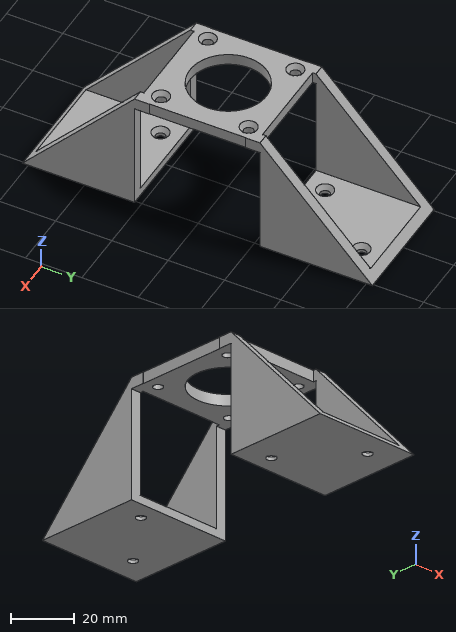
import cadquery as cq
import math

length = 124.3
width = 41.3
height = 43.0

wall = 4.0
plate_thickness = 4.1
floor_thickness = 3.0
foot_gap = 44.5
plate_length = 42.1
side_relief_length = 34.0
side_relief_depth = 0.1
inner_width = width - 2 * wall

bore_diameter = 27.0
screw_diameter = 3.5
head_diameter = 6.0
countersink_depth = 1.7
countersink_angle = 2 * math.degrees(math.atan((head_diameter - screw_diameter) / (2 * countersink_depth)))
plate_screw_spacing = 31.1
foot_screw_x = 9.7
foot_screw_near_y = 29.2
foot_screw_far_y = 52.5


def bridge_body():
    """Trapezoidal bridge, open between the two feet."""
    profile = [
        (-length / 2, 0),
        (-foot_gap / 2, height),
        (foot_gap / 2, height),
        (length / 2, 0),
    ]
    body = cq.Workplane("YZ").polyline(profile).close().extrude(width / 2, both=True)
    opening_height = height - plate_thickness
    opening = cq.Workplane("XY").box(width, foot_gap, opening_height, centered=(True, True, False))
    return body.cut(opening)


def foot_pocket(side):
    """Space between the side walls of one foot, from the plate edge to the sloping face."""
    pocket_length = (length - plate_length) / 2
    pocket_center_y = side * (plate_length + pocket_length) / 2
    return (
        cq.Workplane("XY", origin=(0, pocket_center_y, floor_thickness))
        .box(inner_width, pocket_length, height, centered=(True, True, False))
    )


def side_relief(side):
    """Shallow step along the middle of one long edge of the top plate."""
    relief_center_x = side * (width - side_relief_depth) / 2
    return (
        cq.Workplane("XY", origin=(relief_center_x, 0, 0))
        .box(side_relief_depth, side_relief_length, height, centered=(True, True, False))
    )


def drill_screws(body, top_z, points):
    """Countersunk through holes sunk from the surface at top_z."""
    return (
        body.copyWorkplane(cq.Workplane("XY", origin=(0, 0, top_z)))
        .pushPoints(points)
        .cskHole(screw_diameter, head_diameter, countersink_angle, depth=plate_thickness)
    )


result = bridge_body()
for side in (-1, 1):
    result = result.cut(foot_pocket(side))
    result = result.cut(side_relief(side))

result = result.cut(cq.Workplane("XY").circle(bore_diameter / 2).extrude(height))
half_spacing = plate_screw_spacing / 2
plate_points = [(x, y) for x in (-half_spacing, half_spacing) for y in (-half_spacing, half_spacing)]
result = drill_screws(result, height, plate_points)

foot_points = []
for side in (-1, 1):
    foot_points.append((-foot_screw_x, side * foot_screw_near_y))
    foot_points.append((foot_screw_x, side * foot_screw_far_y))
result = drill_screws(result, floor_thickness, foot_points)